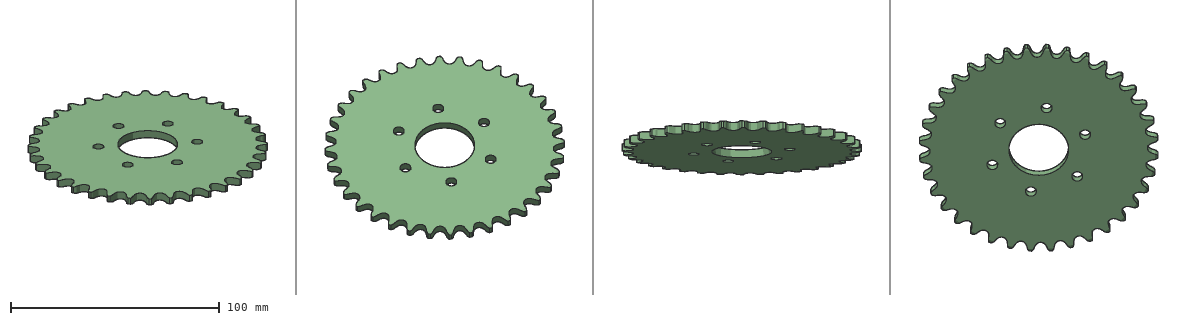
import cadquery as cq
import math


tooth_count = 36
thickness = 3.9
tip_diameter = 114.6
roller_ratio = 0.2 / 0.375
roller_clearance = 0.038

chamfer_length = 1.4
chamfer_depth = 0.3

bore_diameter = 28.6
bolt_count = 6
bolt_hole_diameter = 5.1
bolt_circle_diameter = 47.5

tip_radius = tip_diameter / 2
tooth_angle = 2 * math.pi / tooth_count
chain_pitch = tip_diameter / (0.6 + 1 / math.tan(tooth_angle / 2))
roller_diameter = roller_ratio * chain_pitch
pitch_radius = chain_pitch / 2 / math.sin(tooth_angle / 2)

seat_slope = math.radians(35 + 60 / tooth_count)
working_sweep = math.radians(18 - 56 / tooth_count)
flank_slope = seat_slope - working_sweep
topping_angle = math.radians(17 - 64 / tooth_count)
seat_radius = 0.5025 * roller_diameter + roller_clearance
working_radius = 1.3025 * roller_diameter + roller_clearance
flank_length = roller_diameter * (1.4 * math.sin(topping_angle) - 0.8 * math.sin(working_sweep))
topping_radius = (
    roller_diameter * (0.8 * math.cos(working_sweep) + 1.4 * math.cos(topping_angle) - 1.3025)
    - roller_clearance
)


def along(start, distance, angle):
    """Point at a distance and direction (radians) from a start point."""
    return (start[0] + distance * math.cos(angle), start[1] + distance * math.sin(angle))


def direction(start, end):
    """Direction in radians from one point to another."""
    return math.atan2(end[1] - start[1], end[0] - start[0])


def mirrored(point):
    """Point reflected across the gap centreline."""
    return (point[0], -point[1])


def turned(point, angle):
    """Point turned about the sprocket axis."""
    return along((0, 0), math.hypot(*point), math.atan2(point[1], point[0]) + angle)


def gap_points():
    """Points on the upper half of the gap centred on +X, from its bottom to the tooth tip."""
    seat_normal = seat_slope + math.pi / 2
    flank_normal = flank_slope + math.pi / 2

    seat_centre = (pitch_radius, 0)
    seat_bottom = (pitch_radius - seat_radius, 0)
    seat_end = along(seat_centre, seat_radius, seat_normal)

    working_centre = along(seat_end, -working_radius, seat_normal)
    working_middle = along(working_centre, working_radius, (seat_normal + flank_normal) / 2)
    working_end = along(working_centre, working_radius, flank_normal)

    flank_end = along(working_end, flank_length, flank_slope)
    topping_centre = along(flank_end, topping_radius, flank_normal)
    centre_distance = math.hypot(*topping_centre)
    cosine = (
        (tip_radius ** 2 + centre_distance ** 2 - topping_radius ** 2)
        / (2 * tip_radius * centre_distance)
    )
    tip_angle = direction((0, 0), topping_centre) - math.acos(cosine)
    tip_corner = along((0, 0), tip_radius, tip_angle)
    topping_start = direction(topping_centre, flank_end)
    topping_stop = direction(topping_centre, tip_corner)
    topping_middle = along(topping_centre, topping_radius, (topping_start + topping_stop) / 2)

    return seat_bottom, seat_end, working_middle, working_end, flank_end, topping_middle, tip_corner


def toothed_plate():
    """Plate with the full tooth outline: one gap and one tooth tip per step round the axis."""
    upper = gap_points()
    lower = [mirrored(point) for point in upper]
    tip_middle = (tip_radius * math.cos(tooth_angle / 2), tip_radius * math.sin(tooth_angle / 2))
    next_corner = turned(lower[-1], tooth_angle)

    outline = cq.Workplane("XY").moveTo(*lower[-1])
    for step in range(tooth_count):
        angle = step * tooth_angle
        bottom, seat_end, working_middle, working_end, flank_end, topping_middle, tip_corner = [
            turned(point, angle) for point in upper
        ]
        _, low_seat, low_working_middle, low_working, low_flank, low_topping_middle, _ = [
            turned(point, angle) for point in lower
        ]
        outline = (
            outline
            .threePointArc(low_topping_middle, low_flank)
            .lineTo(*low_working)
            .threePointArc(low_working_middle, low_seat)
            .threePointArc(bottom, seat_end)
            .threePointArc(working_middle, working_end)
            .lineTo(*flank_end)
            .threePointArc(topping_middle, tip_corner)
            .threePointArc(turned(tip_middle, angle), turned(next_corner, angle))
        )
    return outline.close().extrude(thickness)


def chamfered_disc():
    """Round disc with both rims chamfered, turned from its half section."""
    face_radius = tip_radius - chamfer_length
    half_section = [
        (0, 0),
        (face_radius, 0),
        (tip_radius, chamfer_depth),
        (tip_radius, thickness - chamfer_depth),
        (face_radius, thickness),
        (0, thickness),
    ]
    return cq.Workplane("XZ").polyline(half_section).close().revolve(360, (0, 0), (0, 1))


def holes():
    """Centre bore and the ring of bolt holes, the first one on +X."""
    bore = cq.Workplane("XY").circle(bore_diameter / 2).extrude(thickness)
    bolt_holes = (
        cq.Workplane("XY")
        .polarArray(bolt_circle_diameter / 2, 0, 360, bolt_count)
        .circle(bolt_hole_diameter / 2)
        .extrude(thickness)
    )
    return bore.union(bolt_holes)


result = chamfered_disc().intersect(toothed_plate()).cut(holes())